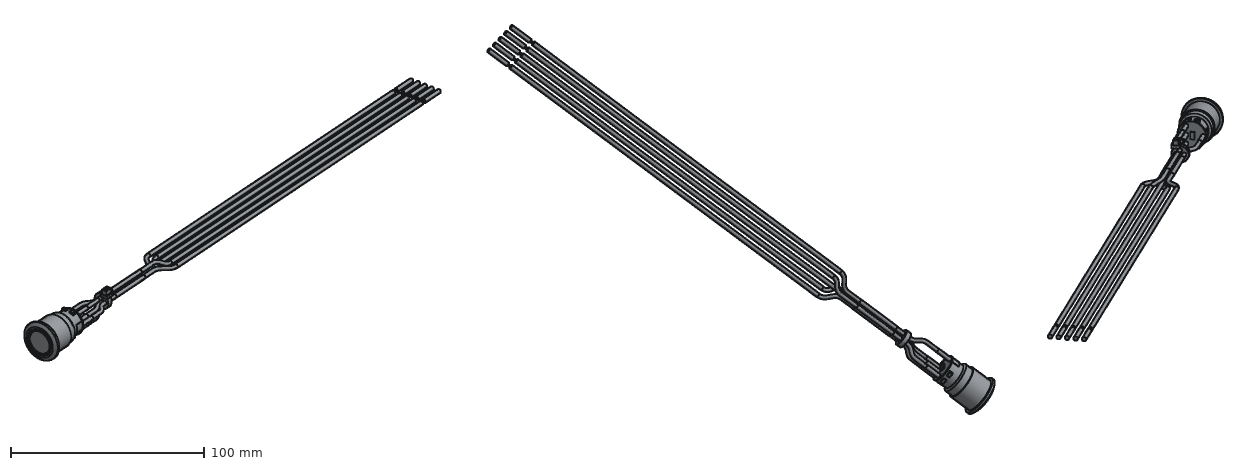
import cadquery as cq


total_length = 327.5
flange_diameter = 22.0
flange_back = 2.6
flange_rim_front = 1.2
bezel_diameter = 17.6
button_diameter = 13.0
bezel_bore_diameter = 13.3
bezel_groove_depth = 0.8
bezel_lip_bore = 15.4
bezel_floor_diameter = 14.7
bezel_floor_depth = 0.4
barrel_diameter = 19.0
barrel_back = 14.5
shoulder_diameter = 17.5
shoulder_back = 19.5
shoulder_taper = 0.8
neck_diameter = 14.7
neck_back = 27.3

pad_width = 5.2
pad_length = 5.0
pad_height = 0.15
hook_width = 2.6
hook_length = 1.8
hook_height = 0.5
hook_offset = 2.4
hook_rear_gap = 1.8
rear_rim_length = 0.5
rear_rim_height = 0.3
rear_key_width = 2.2
rear_key_length = 1.0
rear_key_height = 4.0
rear_key_x = -0.5

sleeved_diameter = 2.4
bare_lead_diameter = 2.2
core_diameter = 1.1
stripped_length = 2.0
sleeve_length = 13.0
bundle_pitch = 2.3
lead_pitch = 4.5
terminal_x = 6.2
paired_terminal_x = 2.9
paired_terminal_z = 4.9
terminal_embed = 0.5

rear_fan_start = 43.1
bundle_start = 51.5
terminal_sleeve_end = 36.2
bundle_sleeve_start = 60.9
bundle_sleeve_end = 85.5
bundle_end = 93.4
inner_bundle_end = 96.3
inner_fan_end = 105.3
outer_fan_end = 104.3

tie_y = 54.0
tie_width = 2.8
tie_thickness = 1.1
tie_diameter = 2 * (bundle_pitch + sleeved_diameter / 2 + tie_thickness)
tie_head_width = 4.5
tie_head_length = 4.8
tie_head_bottom = 3.2
tie_head_top = 7.6
tie_head_x = 2.2
tie_head_step_z = 4.9
tie_cap_inset_x = 0.8
tie_cap_inset_y = 0.3
tie_slot_width = 1.5
tie_slot_length = 1.8
tie_slot_depth = 2.0
tie_slot_x = 1.6


def block(x_size, y_size, z_size, center):
    """Rectangular box about its center."""
    return cq.Workplane("XY").box(x_size, y_size, z_size).translate(center)


def disc(diameter, start, end):
    """Cylinder on the Y axis between two stations."""
    return rod(diameter, 0, 0, start, end)


def rod(diameter, x, z, start, end):
    """Cylinder parallel to Y through (x, z)."""
    plane = cq.Plane(origin=(x, start, z), xDir=(1, 0, 0), normal=(0, 1, 0))
    return cq.Workplane(plane).circle(diameter / 2).extrude(end - start)


def make_button():
    """Stepped body of revolution with a bevelled flange and a sunken ring around the button."""
    profile = [
        (0, 0),
        (button_diameter / 2, 0),
        (button_diameter / 2, bezel_groove_depth),
        (bezel_bore_diameter / 2, bezel_groove_depth),
        (bezel_bore_diameter / 2, bezel_floor_depth),
        (bezel_floor_diameter / 2, bezel_floor_depth),
        (bezel_lip_bore / 2, 0),
        (bezel_diameter / 2, 0),
        (flange_diameter / 2, flange_rim_front),
        (flange_diameter / 2, flange_back),
        (barrel_diameter / 2, flange_back),
        (barrel_diameter / 2, barrel_back),
        (shoulder_diameter / 2, barrel_back),
        (shoulder_diameter / 2, shoulder_back - shoulder_taper),
        (neck_diameter / 2, shoulder_back),
        (neck_diameter / 2, neck_back),
        (0, neck_back),
    ]
    return cq.Workplane("XY").polyline(profile).close().revolve(360, (0, 0, 0), (0, 1, 0))


def make_neck_details():
    """Rear rim and key, raised side pads, and two pairs of hooks above and below."""
    details = disc(neck_diameter + 2 * rear_rim_height, neck_back - rear_rim_length, neck_back)
    pads = disc(neck_diameter + 2 * pad_height, neck_back - pad_length, neck_back)
    pad_center = (0, neck_back - pad_length / 2, 0)
    pads = pads.intersect(block(2 * neck_diameter, pad_length, pad_width, pad_center))
    details = details.union(pads)
    hook_y = neck_back - hook_rear_gap - hook_length / 2
    hook_span = neck_diameter + 2 * hook_height
    for x in (-hook_offset, hook_offset):
        details = details.union(block(hook_width, hook_length, hook_span, (x, hook_y, 0)))
    key_center = (rear_key_x, neck_back + rear_key_length / 2, 0)
    return details.union(block(rear_key_width, rear_key_length, rear_key_height, key_center))


def make_bend(start, end):
    """S-shaped lead between two points, leaving and arriving parallel to Y."""
    direction = (0, 1, 0)
    path = cq.Workplane("XY").spline([start, end], tangents=[direction, direction])
    plane = cq.Plane(origin=start, xDir=(1, 0, 0), normal=direction)
    return cq.Workplane(plane).circle(bare_lead_diameter / 2).sweep(path)


def make_lead(terminal, bundle, tip_x, bundle_stop, fan_stop):
    """One lead from its terminal through the bundle to its stripped end."""
    sleeve_start = total_length - sleeve_length
    insulation_end = sleeve_start - stripped_length
    lead = rod(sleeved_diameter, *terminal, neck_back - terminal_embed, terminal_sleeve_end)
    lead = lead.union(rod(bare_lead_diameter, *terminal, terminal_sleeve_end, rear_fan_start))
    rear_point = (terminal[0], rear_fan_start, terminal[1])
    lead = lead.union(make_bend(rear_point, (bundle[0], bundle_start, bundle[1])))
    lead = lead.union(rod(bare_lead_diameter, *bundle, bundle_start, bundle_stop))
    lead = lead.union(rod(sleeved_diameter, *bundle, bundle_sleeve_start, bundle_sleeve_end))
    if (tip_x, 0) == bundle:
        lead = lead.union(rod(sleeved_diameter, tip_x, 0, bundle_stop, fan_stop))
    else:
        lead = lead.union(make_bend((bundle[0], bundle_stop, bundle[1]), (tip_x, fan_stop, 0)))
    lead = lead.union(rod(sleeved_diameter, tip_x, 0, fan_stop, insulation_end))
    lead = lead.union(rod(core_diameter, tip_x, 0, insulation_end, sleeve_start))
    return lead.union(rod(sleeved_diameter, tip_x, 0, sleeve_start, total_length))


def make_tie():
    """Cable tie strapped around the bundle, with a stepped, slotted head on the upper side."""
    strap = disc(tie_diameter, tie_y - tie_width / 2, tie_y + tie_width / 2)
    base_height = tie_head_step_z - tie_head_bottom
    base_z = tie_head_bottom + base_height / 2
    base = block(tie_head_width, tie_head_length, base_height, (tie_head_x, tie_y, base_z))
    cap_height = tie_head_top - tie_head_step_z
    cap_z = tie_head_step_z + cap_height / 2
    cap_length = tie_head_length - 2 * tie_cap_inset_y
    cap_width = tie_head_width - 2 * tie_cap_inset_x
    cap = block(cap_width, cap_length, cap_height, (tie_head_x, tie_y, cap_z))
    head = base.union(cap)
    slot_z = tie_head_top - tie_slot_depth / 2
    slot = block(tie_slot_width, tie_slot_length, tie_slot_depth, (tie_slot_x, tie_y, slot_z))
    return strap.union(head.cut(slot))


lead_routes = [
    ((-terminal_x, 0), (-bundle_pitch, 0), -2, bundle_end, outer_fan_end),
    ((paired_terminal_x, -paired_terminal_z), (0, -bundle_pitch), -1, inner_bundle_end, inner_fan_end),
    ((paired_terminal_x, 0), (0, 0), 0, inner_bundle_end, inner_fan_end),
    ((paired_terminal_x, paired_terminal_z), (0, bundle_pitch), 1, inner_bundle_end, inner_fan_end),
    ((terminal_x, 0), (bundle_pitch, 0), 2, bundle_end, outer_fan_end),
]

result = make_button().union(make_neck_details()).union(make_tie())
for terminal, bundle, lane, bundle_stop, fan_stop in lead_routes:
    result = result.union(make_lead(terminal, bundle, lane * lead_pitch, bundle_stop, fan_stop))